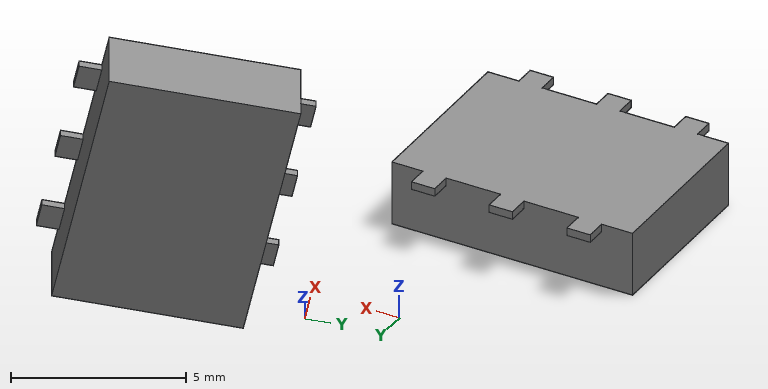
import cadquery as cq

body_length = 7.87
body_width = 5.59
body_height = 2.08
overall_width = 6.91
lead_width = 0.76
lead_thickness = 0.25
lead_pitch = 2.54
leads_per_side = 3


def make_body():
    """Rectangular block standing on the XY plane."""
    return cq.Workplane("XY").box(body_length, body_width, body_height, centered=(True, True, False))


def make_leads():
    """Flat bars across the body, flush with its top; each end is a lead."""
    return (
        cq.Workplane("XY")
        .workplane(offset=body_height - lead_thickness)
        .rarray(lead_pitch, 0.08, leads_per_side, 1)
        .rect(lead_width, overall_width)
        .extrude(lead_thickness)
    )


result = make_body().union(make_leads()).clean()